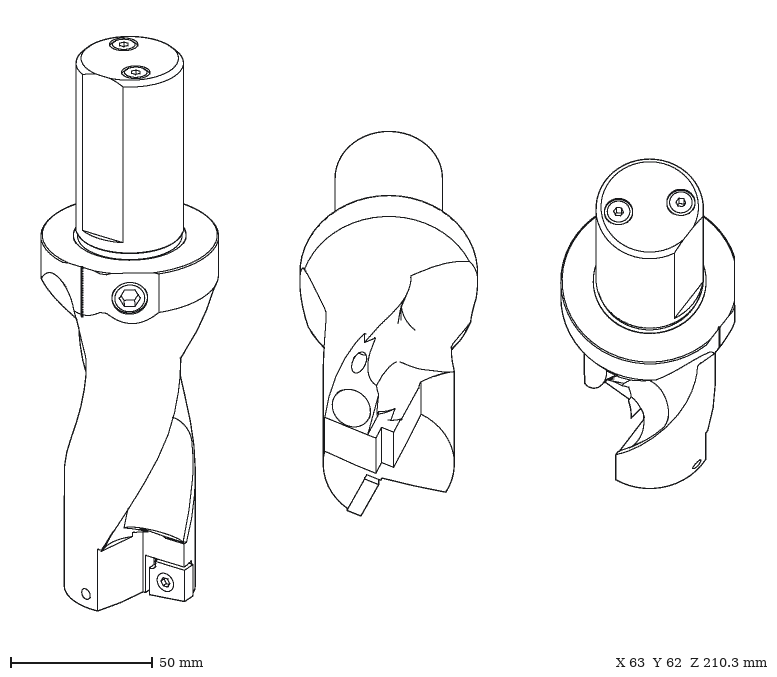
import cadquery as cq
import math

SHANK_R = 19.05
SHANK_TOP = 210.0
SHANK_BOTTOM = 142.4
SHANK_CHAMFER = 1.8
SHANK_FLAT_Y = -17.0
SHANK_FLAT_BOTTOM = 146.4
NECK_R = 18.5
NECK_GROOVE_R = 20.0
NECK_GROOVE_DEPTH = 0.5
NECK_CHAMFER = 0.5

FLANGE_R = 31.5
FLANGE_TOP = 140.0
FLANGE_CHAMFER = 0.5
CONE_TOP = 124.2
CONE_BOTTOM = 101.0
CONE_BOTTOM_R = 23.8
PLUG_FLAT = (-54.0, 30.1)
FRONT_FLAT = (-90.0, 30.5)
BEVEL_FLAT = (-72.0, 31.55)
MARK_WIDTH = 0.6
MARK_DEPTH = 0.4
MARK_BOTTOM = 118.0

BODY_R = 23.25
TIP_FLAT_R = 12.0
TIP_RISE = 1.0

FLUTE_BOTTOM = 24.0
EASE_START = 62.0
FLUTE_TOP = 98.5
TWIST_RATE = 1.4
FLUTE_CORNER = (-3.0, 2.0)
FLUTE_CORNER_R = 15.0
FLUTE_REACH = 45.0
FLUTE_SECTIONS = 9
RUNOUT_SLOPE = 1.15
RUNOUT_TRAVEL = 45.0
CHIP_POCKET_R = 11.0
CHIP_POCKET_TOP = (-15.5, -6.5, 59.5)
CHIP_POCKET_AXIS = (0.05, 0.37, -1.0)
CHIP_POCKET_LENGTH = 35.0
ROOF_FLOOR_Y = 6.0
ROOF_END = (-16.0, 57.0)
END_BALL_R = 8.0
END_BALL_CENTER = (3.5, 14.3, 33.7)
COOLANT_R = 2.3
COOLANT_MOUTH = (-9.5, 16.0, 47.0)
COOLANT_AXIS = (-0.05, -0.15, 1.0)
COOLANT_LENGTH = 15.0

FRONT_WALL_X = 1.9
FRONT_WALL_INNER_X = 5.7
BACK_WALL_X = 4.8
BACK_POCKET_FLOOR_Y = -1.9
BACK_STEP_X = 0.0
BACK_STEP_Y = 2.8
POCKET_TOP = 25.5
COOLANT_EXIT_X = -3.2
COOLANT_EXIT_Z = 6.3
COOLANT_EXIT_R = 2.0
COOLANT_EXIT_DEPTH = 8.0

INSERT_LEFT = 8.4
INSERT_RIGHT = 23.4
INSERT_TOP = 13.6
INSERT_LOW = -0.35
INSERT_RISE = 1.5
INSERT_THICKNESS = 5.5
INSERT_GAP_LEFT = 1.7
INSERT_GAP_TOP = 1.2
RELIEF_R = 2.1
RELIEF_X = 9.0
RELIEF_Z = 12.4
SCREW_X = 15.2
SCREW_Z = 6.5
SCREW_HEAD_R = 3.5
SCREW_SHANK_R = 2.0
SCREW_HEAD_DEPTH = 3.0
SCREW_LENGTH = 12.0
SCREW_SOCKET = 3.2
SCREW_SOCKET_DEPTH = 2.0

TOP_PLUG_R = 5.0
TOP_PLUG_OFFSET = 7.9
TOP_PLUG_SOCKET = 3.0
SIDE_PLUG_R = 6.3
SIDE_PLUG_SHIFT = -1.0
SIDE_PLUG_Z = 130.0
SIDE_PLUG_SOCKET = 6.5
PLUG_LENGTH = 10.0
PLUG_CHAMFER = 1.0
PLUG_SOCKET_DEPTH = 5.0

HEX_RATIO = 2 / math.sqrt(3)
MARGIN = 5.0


def half_turn(shape):
    return shape.rotate((0, 0, 0), (0, 0, 1), 180)


def box_between(low, high):
    size = [b - a for a, b in zip(low, high)]
    return cq.Workplane("XY").box(*size, centered=False).translate(low)


def flange_plane(flat, z, shift=0.0):
    """Plane on a flange flat, with its normal pointing away from the axis."""
    angle = math.radians(flat[0])
    normal = cq.Vector(math.cos(angle), math.sin(angle), 0)
    along = cq.Vector(-math.sin(angle), math.cos(angle), 0)
    return cq.Plane(normal * flat[1] + along * shift + cq.Vector(0, 0, z), along, normal)



def turned_blank():
    return (
        cq.Workplane("XZ")
        .moveTo(0, 0)
        .lineTo(TIP_FLAT_R, 0)
        .lineTo(BODY_R, TIP_RISE)
        .lineTo(BODY_R, FLUTE_TOP)
        .lineTo(CONE_BOTTOM_R, CONE_BOTTOM)
        .lineTo(FLANGE_R, CONE_TOP)
        .lineTo(FLANGE_R, FLANGE_TOP - FLANGE_CHAMFER)
        .lineTo(FLANGE_R - FLANGE_CHAMFER, FLANGE_TOP)
        .lineTo(NECK_GROOVE_R, FLANGE_TOP)
        .lineTo(NECK_GROOVE_R, FLANGE_TOP - NECK_GROOVE_DEPTH)
        .lineTo(NECK_R, FLANGE_TOP - NECK_GROOVE_DEPTH)
        .lineTo(NECK_R, SHANK_BOTTOM - NECK_CHAMFER)
        .lineTo(SHANK_R - NECK_CHAMFER, SHANK_BOTTOM - NECK_CHAMFER)
        .lineTo(SHANK_R, SHANK_BOTTOM)
        .lineTo(SHANK_R, SHANK_TOP - SHANK_CHAMFER)
        .lineTo(SHANK_R - SHANK_CHAMFER, SHANK_TOP)
        .lineTo(0, SHANK_TOP)
        .close()
        .revolve(360, (0, 0, 0), (0, 1, 0))
    )


def shank_flat():
    return box_between(
        (-SHANK_R, -SHANK_R - MARGIN, SHANK_FLAT_BOTTOM),
        (SHANK_R, SHANK_FLAT_Y, SHANK_TOP + MARGIN),
    )


def flange_flat(flat):
    """Material outside one flat, from the foot of the cone to the flange top."""
    height = FLANGE_TOP - CONE_BOTTOM
    plane = flange_plane(flat, CONE_BOTTOM + height / 2)
    return cq.Workplane(plane).rect(2 * FLANGE_R, height).extrude(MARGIN)


def flange_mark():
    return box_between(
        (-MARK_WIDTH / 2, -FRONT_FLAT[1] - MARGIN, MARK_BOTTOM),
        (MARK_WIDTH / 2, -FRONT_FLAT[1] + MARK_DEPTH, FLANGE_TOP),
    )


def flute_angle(z):
    """Turn of the flute, in degrees, relative to its upper end."""
    ease = FLUTE_TOP - EASE_START
    if z >= EASE_START:
        return -TWIST_RATE * (FLUTE_TOP - z) ** 2 / (2 * ease)
    return -TWIST_RATE * (ease / 2 + EASE_START - z)


def flute_section(z):
    """Two square walls joined by a round corner, opening away from the axis."""
    x, y = FLUTE_CORNER
    r = FLUTE_CORNER_R
    mid = r * (1 - math.sqrt(0.5))
    return (
        cq.Workplane("XY")
        .moveTo(x - FLUTE_REACH, y)
        .lineTo(x - r, y)
        .threePointArc((x - mid, y - mid), (x, y - r))
        .lineTo(x, y - FLUTE_REACH)
        .lineTo(x - FLUTE_REACH, y - FLUTE_REACH)
        .close()
        .val()
        .rotate(cq.Vector(0, 0, 0), cq.Vector(0, 0, 1), flute_angle(z))
        .translate(cq.Vector(0, 0, z))
    )


def twisted_flute():
    step = (FLUTE_TOP - FLUTE_BOTTOM) / (FLUTE_SECTIONS - 1)
    heights = [FLUTE_BOTTOM + i * step for i in range(FLUTE_SECTIONS)]
    return cq.Workplane(cq.Solid.makeLoft([flute_section(z) for z in heights]))


def flute_runout():
    """The upper flute section carried outward and up through the flange."""
    travel = cq.Vector(0, -RUNOUT_TRAVEL, RUNOUT_TRAVEL * RUNOUT_SLOPE)
    face = cq.Face.makeFromWires(flute_section(FLUTE_TOP))
    return cq.Workplane(cq.Solid.extrudeLinear(face, travel))


def chip_pocket():
    """Slanted round pocket with a ball end at its top."""
    top = cq.Vector(*CHIP_POCKET_TOP)
    axis = cq.Vector(*CHIP_POCKET_AXIS)
    shaft = cq.Workplane(cq.Solid.makeCylinder(CHIP_POCKET_R, CHIP_POCKET_LENGTH, top, axis))
    return shaft.union(cq.Workplane("XY").sphere(CHIP_POCKET_R).translate(CHIP_POCKET_TOP))


def sloping_roof():
    """Clearance above the back pocket, under a flat sloping roof."""
    outer = BODY_R + MARGIN
    end_x, end_z = ROOF_END
    return (
        cq.Workplane("XZ", origin=(0, ROOF_FLOOR_Y, 0))
        .polyline([(BACK_WALL_X, POCKET_TOP), (end_x, end_z), (end_x, POCKET_TOP)])
        .close()
        .extrude(-outer)
    )


def end_ball():
    return cq.Workplane("XY").sphere(END_BALL_R).translate(END_BALL_CENTER)


def flute_coolant_hole():
    axis = cq.Vector(*COOLANT_AXIS)
    start = cq.Vector(*COOLANT_MOUTH) - axis * 2 * COOLANT_R
    return cq.Workplane(cq.Solid.makeCylinder(COOLANT_R, COOLANT_LENGTH, start, axis))


def front_pocket():
    """Space in front of the outer insert, with a sloping side wall."""
    outer = BODY_R + MARGIN
    return (
        cq.Workplane("XY")
        .polyline([
            (FRONT_WALL_X, -outer),
            (FRONT_WALL_X, -BODY_R),
            (FRONT_WALL_INNER_X, 0),
            (outer, 0),
            (outer, -outer),
        ])
        .close()
        .extrude(POCKET_TOP + MARGIN)
        .translate((0, 0, -MARGIN))
    )


def back_pocket():
    """Space behind the web, stepped so that the web at the axis stays thick."""
    outer = BODY_R + MARGIN
    return (
        cq.Workplane("XY")
        .polyline([
            (-outer, BACK_POCKET_FLOOR_Y),
            (BACK_STEP_X, BACK_POCKET_FLOOR_Y),
            (BACK_STEP_X, BACK_STEP_Y),
            (BACK_WALL_X, BACK_STEP_Y),
            (BACK_WALL_X, outer),
            (-outer, outer),
        ])
        .close()
        .extrude(POCKET_TOP + MARGIN)
        .translate((0, 0, -MARGIN))
    )


def insert_seat():
    return box_between(
        (INSERT_LEFT - INSERT_GAP_LEFT, -MARGIN, -MARGIN),
        (BODY_R + MARGIN, INSERT_THICKNESS, INSERT_TOP + INSERT_GAP_TOP),
    )


def relief_hole():
    return (
        cq.Workplane("XZ", origin=(RELIEF_X, 0, RELIEF_Z))
        .circle(RELIEF_R)
        .extrude(-INSERT_THICKNESS - RELIEF_R)
    )


def coolant_exit():
    return (
        cq.Workplane("XZ", origin=(COOLANT_EXIT_X, -BODY_R + COOLANT_EXIT_DEPTH, COOLANT_EXIT_Z))
        .circle(COOLANT_EXIT_R)
        .extrude(COOLANT_EXIT_DEPTH + MARGIN)
    )



def plug_blank(plane, radius):
    return cq.Workplane(plane).circle(radius).extrude(-PLUG_LENGTH)


def plug(plane, radius, socket):
    hexagon = cq.Workplane(plane).polygon(6, socket * HEX_RATIO).extrude(-PLUG_SOCKET_DEPTH)
    rim = plug_blank(plane, radius).faces(cq.NearestToPointSelector(plane.origin.toTuple()))
    return rim.edges().chamfer(PLUG_CHAMFER).cut(hexagon)



def screw_blank():
    """Flat-headed screw, its head level with the insert face at y = 0."""
    return (
        cq.Workplane("XY")
        .polyline([
            (0, 0),
            (SCREW_HEAD_R, 0),
            (SCREW_SHANK_R, SCREW_HEAD_DEPTH),
            (SCREW_SHANK_R, SCREW_LENGTH),
            (0, SCREW_LENGTH),
        ])
        .close()
        .revolve(360, (0, 0, 0), (0, 1, 0))
        .translate((SCREW_X, 0, SCREW_Z))
    )


def screw():
    socket = (
        cq.Workplane("XZ", origin=(SCREW_X, 0, SCREW_Z))
        .polygon(6, SCREW_SOCKET * HEX_RATIO)
        .extrude(-SCREW_SOCKET_DEPTH)
    )
    return screw_blank().cut(socket)


def insert():
    plate = (
        cq.Workplane("XZ")
        .polyline([
            (INSERT_LEFT, INSERT_LOW),
            (INSERT_RIGHT, INSERT_LOW + INSERT_RISE),
            (INSERT_RIGHT, INSERT_TOP),
            (INSERT_LEFT, INSERT_TOP),
        ])
        .close()
        .extrude(-INSERT_THICKNESS)
    )
    return plate.cut(relief_hole()).cut(screw_blank())


side_plane = flange_plane(PLUG_FLAT, SIDE_PLUG_Z, SIDE_PLUG_SHIFT)
plug_places = [(side_plane, SIDE_PLUG_R, SIDE_PLUG_SOCKET)]
for side in (-1, 1):
    top_plane = cq.Plane((side * TOP_PLUG_OFFSET, -side * TOP_PLUG_OFFSET, SHANK_TOP))
    plug_places.append((top_plane, TOP_PLUG_R, TOP_PLUG_SOCKET))

body = turned_blank().cut(shank_flat()).cut(flange_mark())
for flat in (FRONT_FLAT, PLUG_FLAT, BEVEL_FLAT):
    body = body.cut(flange_flat(flat))
for cutter in (twisted_flute(), flute_runout(), chip_pocket()):
    body = body.cut(cutter).cut(half_turn(cutter))
for cutter in (sloping_roof(), end_ball(), flute_coolant_hole(), front_pocket(), back_pocket()):
    body = body.cut(cutter)
for cutter in (insert_seat(), relief_hole(), screw_blank(), coolant_exit()):
    body = body.cut(cutter)

plugs = []
for plane, radius, socket in plug_places:
    body = body.cut(plug_blank(plane, radius))
    plugs.append(plug(plane, radius, socket))

result = cq.Compound.makeCompound(
    [*body.vals(), insert().val(), screw().val(), *[p.val() for p in plugs]]
)